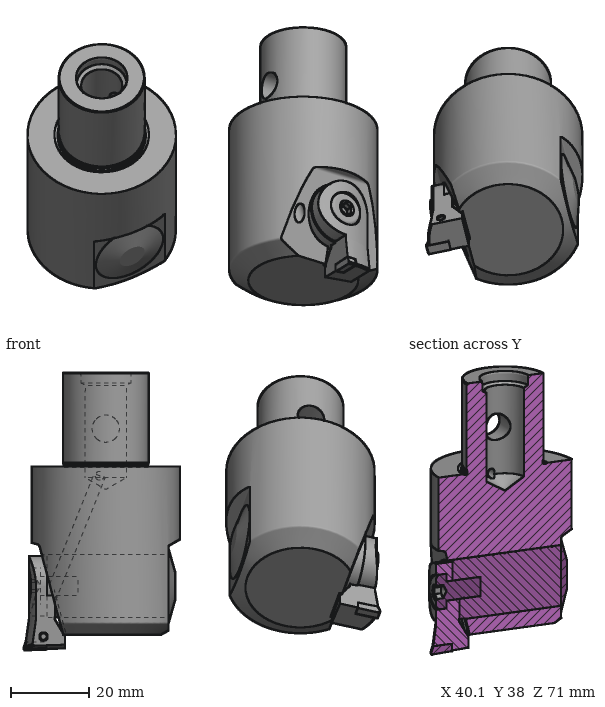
import cadquery as cq
import math


overall_length = 71.0
overall_width = 40.05

shank_radius = 11.0
shank_length = 24.0
shank_chamfer = 0.2
neck_radius = shank_radius - shank_chamfer
neck_taper_top = 1.1
neck_taper_bottom = 0.5
relief_radius = 12.1
relief_floor_radius = 11.3
relief_depth = 0.3

counterbore_radius = 6.4
counterbore_floor_z = 21.4
lead_in_width = 0.18
lead_in_depth = 0.65
bore_radius = 5.25
bore_end_z = -2.85
cone_slope = math.tan(math.radians(30))

cross_hole_radius = 3.5
cross_hole_z = 9.65

head_diameter = 38.0
head_radius = head_diameter / 2
head_bottom_z = -43.0
bottom_face_radius = 14.05
bottom_edge_radius = 0.7

seat_angle = 15
seat_ledge_angle = 15
seat_top_x = -17.05
seat_top_z = -20.0
seat_fillet = 0.85

flat_x = 16.05
flat_top_z = -20.3
flat_ledge_angle = 30
flat_fillet = 0.6

slide_axis_z = -30.5
slide_radius = 8.0
slide_face_x = -15.05
dial_base_radius = 9.6
dial_top_radius = 3.55
dial_height = 1.7

cartridge_radius = 7.7
cartridge_front_x = -19.7
cartridge_front_radius = 17.05
leg_side_y = 0.35
leg_bend_z = -39.05
leg_tilt = 8
leg_bottom_edge_bevel = 0.4
key_top_z = -33.0
key_back_x = -13.0
heel_top_z = -43.4
heel_back_x = -10.4
leg_relief_angle = 7
leg_end_angle = 2
leg_end_z = -46.85
pin_hole_radius = 1.1
pin_hole_depth = 2.85
pin_hole_chamfer = 0.2
pin_hole_x = -15.9
pin_hole_z = -43.45

slot_clearance = 0.3
slot_depth = 0.8

insert_nose_x = head_radius - overall_width
insert_inner_x = -15.1
insert_top_z = -44.8
insert_nose_z = -46.4
insert_nose_bevel = 0.3
insert_width = 2.4
insert_bottom_z = shank_length - overall_length

screw_head_radius = 4.55
screw_head_fillet = 1.0
screw_top_x = cartridge_front_x
screw_seat_x = -16.7
screw_shank_radius = 2.5
screw_end_x = -7.1
socket_across_flats = 3.0
socket_depth = 2.1
socket_rim_radius = 2.1
socket_rim_depth = 0.35

coolant_y = 10.6
coolant_radius = 1.5
coolant_tilt = 22
coolant_exit_z = -32.45
coolant_overrun = 7.1
link_radius = 1.15
link_x = -1.55

reach = 56.8


def x_axis_rod(radius, start_x, end_x):
    """Cylinder on the common axis of the slide, dial and clamp screw."""
    plane = cq.Plane(origin=(start_x, 0, slide_axis_z), xDir=(0, 1, 0), normal=(1, 0, 0))
    return cq.Workplane(plane).circle(radius).extrude(end_x - start_x)


def box_between(x_range, y_range, z_range):
    sizes = [high - low for low, high in (x_range, y_range, z_range)]
    corner = (x_range[0], y_range[0], z_range[0])
    return cq.Workplane("XY").box(*sizes, centered=False).translate(corner)


def seat_x(z):
    """X of the sloped seat at height z."""
    return seat_top_x + (seat_top_z - z) * math.tan(math.radians(seat_angle))


def turned_blank():
    cone_top_z = head_bottom_z + (head_radius - bottom_face_radius) * cone_slope
    outline = (
        cq.Workplane("XZ")
        .moveTo(0, head_bottom_z)
        .lineTo(bottom_face_radius, head_bottom_z)
        .lineTo(head_radius, cone_top_z)
        .lineTo(head_radius, 0)
        .lineTo(relief_radius, 0)
        .lineTo(relief_floor_radius, -relief_depth)
        .lineTo(neck_radius, 0)
        .lineTo(neck_radius, neck_taper_bottom)
        .lineTo(shank_radius, neck_taper_top)
        .lineTo(shank_radius, shank_length - shank_chamfer)
        .lineTo(shank_radius - shank_chamfer, shank_length)
        .lineTo(0, shank_length)
        .close()
    )
    blank = outline.revolve(360, (0, 0, 0), (0, 1, 0))
    cone_edge = cq.selectors.NearestToPointSelector((0, 0, cone_top_z))
    return blank.edges("%CIRCLE").edges(cone_edge).fillet(bottom_edge_radius)


def shank_bore():
    ledge_z = counterbore_floor_z - (counterbore_radius - bore_radius) * cone_slope
    outline = (
        cq.Workplane("XZ")
        .moveTo(0, shank_length)
        .lineTo(counterbore_radius + lead_in_width, shank_length)
        .lineTo(counterbore_radius, shank_length - lead_in_depth)
        .lineTo(counterbore_radius, counterbore_floor_z)
        .lineTo(bore_radius, ledge_z)
        .lineTo(bore_radius, bore_end_z)
        .lineTo(0, bore_end_z - bore_radius * cone_slope)
        .close()
    )
    return outline.revolve(360, (0, 0, 0), (0, 1, 0))


def cross_hole():
    plane = cq.Plane(origin=(0, 0, cross_hole_z), xDir=(1, 0, 0), normal=(0, 1, 0))
    return cq.Workplane(plane).circle(cross_hole_radius).extrude(shank_radius)


def outside_cut(corner_x, corner_z, wall_angle, ledge_angle, corner_fillet):
    """Prism along Y that faces a +X side: a wall below the corner and a rising ledge outside it."""
    wall_lean = reach * math.tan(math.radians(wall_angle))
    ledge_rise = reach * math.tan(math.radians(ledge_angle))
    prism = (
        cq.Workplane("XZ", origin=(0, reach, 0))
        .moveTo(corner_x, corner_z)
        .lineTo(corner_x + reach, corner_z + ledge_rise)
        .lineTo(corner_x + reach, corner_z - reach)
        .lineTo(corner_x - wall_lean, corner_z - reach)
        .close()
        .extrude(2 * reach)
    )
    corner = cq.selectors.NearestToPointSelector((corner_x, 0, corner_z))
    return prism.edges("|Y").edges(corner).fillet(corner_fillet)


def seat_cut():
    return outside_cut(-seat_top_x, seat_top_z, seat_angle, seat_ledge_angle, seat_fillet).mirror("YZ")


def flat_cut():
    return outside_cut(flat_x, flat_top_z, 0, flat_ledge_angle, flat_fillet)


def leg_slot():
    """Recess behind the leg, with a floor parallel to the seat."""
    top_z = slide_axis_z
    outline = (
        cq.Workplane("XZ", origin=(0, leg_side_y + slot_clearance, 0))
        .moveTo(-reach, top_z)
        .lineTo(seat_x(top_z) + slot_depth, top_z)
        .lineTo(seat_x(-reach) + slot_depth, -reach)
        .lineTo(-reach, -reach)
        .close()
    )
    return outline.extrude(leg_side_y + cartridge_radius + 2 * slot_clearance)


def coolant_drillings():
    """Tilted drilling that opens in the seat, and a cross drilling that joins it to the bore."""
    tilt = math.radians(coolant_tilt)
    exit_x = seat_x(coolant_exit_z)
    top_z = coolant_exit_z + (link_x - exit_x) / math.tan(tilt)
    length = (link_x - exit_x) / math.sin(tilt) + coolant_overrun
    downward = cq.Vector(-math.sin(tilt), 0, -math.cos(tilt))
    top = cq.Vector(link_x, coolant_y, top_z)
    main = cq.Solid.makeCylinder(coolant_radius, length, top, downward)
    link_start_y = bore_radius - 2 * link_radius
    link_start = cq.Vector(link_x, link_start_y, top_z)
    link = cq.Solid.makeCylinder(link_radius, coolant_y - link_start_y, link_start, cq.Vector(0, 1, 0))
    return cq.Workplane(link).union(cq.Workplane(main))


def make_head():
    head = turned_blank().cut(shank_bore()).cut(cross_hole())
    head = head.cut(seat_cut()).cut(flat_cut()).cut(leg_slot())
    head = head.cut(x_axis_rod(slide_radius, -reach, reach))
    return head.cut(coolant_drillings())


def make_dial():
    plane = cq.Plane(origin=(flat_x, 0, slide_axis_z), xDir=(0, 1, 0), normal=(1, 0, 0))
    taper = math.degrees(math.atan((dial_base_radius - dial_top_radius) / dial_height))
    return cq.Workplane(plane).circle(dial_base_radius).extrude(dial_height, taper=taper)


def about_bend(shape, angle):
    """Turn a shape outward about the bend line in the front of the cartridge."""
    bend = (cartridge_front_x, 0, leg_bend_z)
    bend_end = (cartridge_front_x, 1, leg_bend_z)
    return shape.rotate(bend, bend_end, angle)


def round_front(body):
    """Round the front of the cartridge; the round leans outward below a mitred bend."""
    axis_x = cartridge_front_x + cartridge_front_radius
    bar = (
        cq.Workplane("XY", origin=(axis_x, 0, leg_bend_z - reach))
        .circle(cartridge_front_radius)
        .extrude(2 * reach)
    )
    below = box_between((-2 * reach, reach), (-reach, reach), (leg_bend_z - reach, leg_bend_z))
    below = about_bend(below, leg_tilt / 2)
    upper = body.cut(below).intersect(bar)
    lower = body.intersect(below).intersect(about_bend(bar, leg_tilt))
    return upper.union(lower)


def cartridge_side_profile():
    """Back of the cartridge: flat on the slide, then the key and the heel of the leg."""
    outline = (
        cq.Workplane("XZ", origin=(0, leg_side_y, 0))
        .moveTo(-reach, slide_axis_z + cartridge_radius)
        .lineTo(slide_face_x, slide_axis_z + cartridge_radius)
        .lineTo(slide_face_x, key_top_z)
        .lineTo(key_back_x, key_top_z)
        .lineTo(key_back_x, leg_bend_z)
        .lineTo(heel_back_x, heel_top_z)
        .lineTo(heel_back_x, -reach)
        .lineTo(-reach, -reach)
        .close()
    )
    return outline.extrude(leg_side_y + cartridge_radius)


def end_relief(lowest_x, lowest_z):
    """Block under the lowest corner of the leg or insert, tilted so the end rises away from it."""
    block = box_between((-reach, reach), (-reach, reach), (-reach, 0))
    block = block.rotate((0, 0, 0), (1, 0, 0), -leg_relief_angle)
    block = block.rotate((0, 0, 0), (0, 1, 0), -leg_end_angle)
    return block.translate((lowest_x, leg_side_y, lowest_z))


def pin_hole():
    plane = cq.Plane(origin=(pin_hole_x, -cartridge_radius, pin_hole_z), xDir=(1, 0, 0), normal=(0, 1, 0))
    hole = cq.Workplane(plane).circle(pin_hole_radius - pin_hole_chamfer).extrude(pin_hole_depth)
    rim = cq.Workplane(plane).circle(pin_hole_radius).extrude(pin_hole_chamfer, taper=45)
    return hole.union(rim)


def make_cartridge():
    disc = x_axis_rod(cartridge_radius, -reach, slide_face_x)
    leg_range = (-reach, slide_axis_z)
    leg = cartridge_side_profile().intersect(
        box_between((-reach, 0), (-cartridge_radius, leg_side_y), leg_range)
    )
    cartridge = round_front(disc.union(leg))
    cartridge = cartridge.cut(end_relief(insert_nose_x, leg_end_z))
    front_edge = cq.selectors.NearestToPointSelector((cartridge_front_x, -cartridge_radius / 2, leg_end_z))
    return cartridge.edges(front_edge).chamfer(leg_bottom_edge_bevel).cut(pin_hole())


def make_insert():
    lean = math.tan(math.radians(leg_tilt))
    top_front_x = cartridge_front_x - (leg_bend_z - insert_top_z) * lean
    nose_foot_x = insert_nose_x + insert_nose_bevel
    outline = (
        cq.Workplane("XZ", origin=(0, leg_side_y, 0))
        .moveTo(insert_inner_x, insert_top_z)
        .lineTo(top_front_x, insert_top_z)
        .lineTo(insert_nose_x, insert_nose_z)
        .lineTo(nose_foot_x, insert_bottom_z)
        .lineTo(insert_inner_x, insert_bottom_z)
        .close()
    )
    return outline.extrude(insert_width).cut(end_relief(nose_foot_x, insert_bottom_z))


def screw_envelope():
    head = x_axis_rod(screw_head_radius, screw_top_x, screw_seat_x)
    shank = x_axis_rod(screw_shank_radius, screw_seat_x, screw_end_x)
    return head.union(shank)


def make_screw():
    screw = screw_envelope().faces("<X").edges().fillet(screw_head_fillet)
    plane = cq.Plane(origin=(screw_top_x, 0, slide_axis_z), xDir=(0, 0, 1), normal=(1, 0, 0))
    across_corners = socket_across_flats / math.cos(math.pi / 6)
    socket = cq.Workplane(plane).polygon(6, across_corners).extrude(socket_depth)
    rim_taper = math.degrees(math.atan((socket_rim_radius - socket_across_flats / 2) / socket_rim_depth))
    rim = cq.Workplane(plane).circle(socket_rim_radius).extrude(socket_rim_depth, taper=rim_taper)
    point_radius = socket_across_flats / 2
    point = cq.Solid.makeCone(
        point_radius,
        0,
        point_radius * cone_slope,
        cq.Vector(screw_top_x + socket_depth, 0, slide_axis_z),
        cq.Vector(1, 0, 0),
    )
    return screw.cut(socket).cut(rim).cut(cq.Workplane(point))


screw_space = x_axis_rod(screw_head_radius, -reach, screw_seat_x).union(screw_envelope())
insert = make_insert()
cartridge = make_cartridge().cut(insert).cut(screw_space)
slide = x_axis_rod(slide_radius, slide_face_x, flat_x).cut(cartridge_side_profile()).cut(screw_space)
head = make_head()
dial = make_dial()
screw = make_screw()

bodies = [head, slide, dial, cartridge, insert, screw]
result = cq.Compound.makeCompound([body.solids().val() for body in bodies])